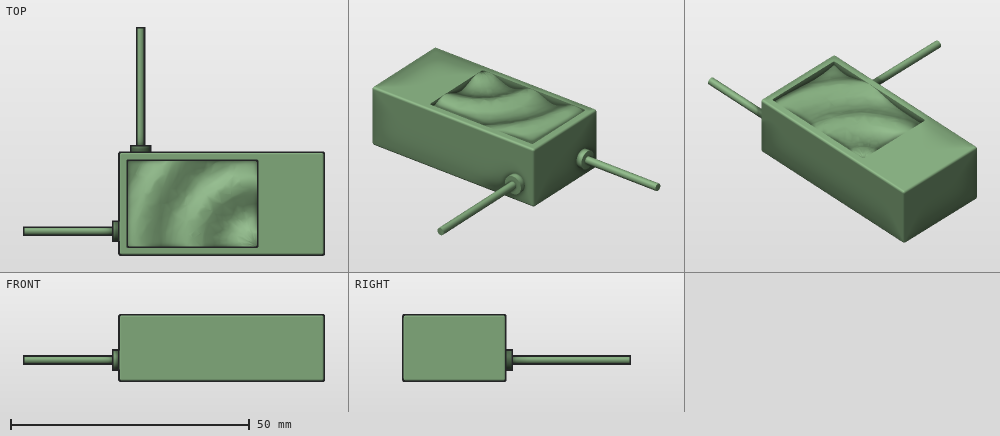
import cadquery as cq
import math

length = 43.0
width = 21.6
height = 14.0
edge_radius = 0.5

lead_diameter = 1.7
collar_diameter = 4.2
collar_length = 1.3
lead_height = 4.5
side_lead_reach = 20.0
side_lead_y = 5.05
back_lead_reach = 26.0
back_lead_x = 4.55

pocket_margin = 1.7
pocket_length = 27.35
pocket_width = width - 2 * pocket_margin
pocket_corner_radius = 0.4
wave_length = 11.35
first_crest_radius = 1.9
crest_depth = 0.05
trough_depth = 1.7
points_per_wave = 8
pocket_block_depth = trough_depth + 0.6


def floor_depth(radius):
    """Depth of the wavy floor below the top face at a radius from the wave centre."""
    phase = 2 * math.pi * (radius - first_crest_radius) / wave_length
    mean_depth = (crest_depth + trough_depth) / 2
    amplitude = (trough_depth - crest_depth) / 2
    return mean_depth - amplitude * math.cos(phase)


def make_housing():
    box = cq.Workplane("XY").box(length, width, height, centered=False)
    return box.edges().fillet(edge_radius)


def make_lead(face_plane, reach):
    """Collar and lead standing on a plane laid on a housing face."""
    collar = cq.Workplane(face_plane).circle(collar_diameter / 2).extrude(collar_length)
    lead = cq.Workplane(face_plane).circle(lead_diameter / 2).extrude(reach)
    return collar.union(lead)


def make_pocket():
    """Pocket volume: a rounded block trimmed below by waves around its +X, -Y corner."""
    block = (
        cq.Workplane("XY", origin=(pocket_margin, pocket_margin, height - pocket_block_depth))
        .rect(pocket_length, pocket_width, centered=False)
        .extrude(pocket_block_depth)
        .edges("|Z")
        .fillet(pocket_corner_radius)
    )
    wave_count = math.ceil(math.hypot(pocket_length, pocket_width) / wave_length)
    step = wave_length / points_per_wave
    radii = [step * i for i in range(wave_count * points_per_wave + 1)]
    floor_points = [(r, -floor_depth(r)) for r in radii]
    above_floor = (
        cq.Workplane("XZ")
        .moveTo(*floor_points[0])
        .spline(floor_points[1:], includeCurrent=True)
        .lineTo(radii[-1], trough_depth)
        .lineTo(0, trough_depth)
        .close()
        .revolve(360, (0, 0), (0, 1))
        .translate((pocket_margin + pocket_length, pocket_margin, height))
    )
    return block.intersect(above_floor)


side_plane = cq.Plane(origin=(0, side_lead_y, lead_height), normal=(-1, 0, 0))
back_plane = cq.Plane(origin=(back_lead_x, width, lead_height), normal=(0, 1, 0))

result = (
    make_housing()
    .cut(make_pocket())
    .union(make_lead(side_plane, side_lead_reach))
    .union(make_lead(back_plane, back_lead_reach))
)